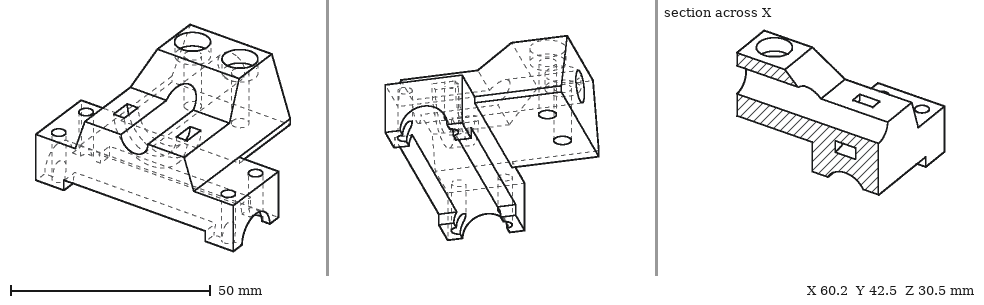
import cadquery as cq

base_width = 60.2
base_depth = 20.0
base_height = 13.5
total_depth = 42.5
total_height = 30.5

body_bottom_width = 36.1
body_top_width = 24.9
deck_height = 22.45
rear_underside = 11.75
ramp_run = total_height - deck_height

foot_gap_width = 43.0
foot_gap_height = 3.0
rod_radius = 6.1

bore_radius = 4.1

strap_inner_radius = 7.95
strap_outer_radius = 11.2
strap_width = 6.0

block_hole_spacing = 14.45
block_hole_to_back = 6.5
block_hole_diameter = 4.45
counterbore_diameter = 9.0
counterbore_depth = 4.0

flange_hole_spacing_x = 51.65
flange_hole_spacing_y = 12.05
flange_hole_diameter = 3.6

base_middle_y = base_depth / 2


def cylinder_along_y(radius, y_start, length):
    """Cylinder around the bore axis."""
    axis_start = cq.Vector(0, y_start, deck_height)
    return cq.Workplane(cq.Solid.makeCylinder(radius, length, axis_start, cq.Vector(0, 1, 0)))


def make_base():
    """Flanged base with a gap between its feet and a half-round rod seat along X."""
    base = cq.Workplane().box(base_width, base_depth, base_height, centered=(True, False, False))
    foot_gap = cq.Workplane().box(
        foot_gap_width, base_depth, foot_gap_height, centered=(True, False, False)
    )
    rod = (
        cq.Workplane("YZ")
        .center(base_middle_y, 0)
        .circle(rod_radius)
        .extrude(base_width / 2, both=True)
    )
    return base.cut(foot_gap).cut(rod)


def make_body():
    """Tapered bar along Y, with everything above the deck and the ramp removed."""
    bottom_x = body_bottom_width / 2
    top_x = body_top_width / 2
    end_profile = [
        (-bottom_x, rear_underside),
        (bottom_x, rear_underside),
        (bottom_x, base_height),
        (top_x, total_height),
        (-top_x, total_height),
        (-bottom_x, base_height),
    ]
    space_above_deck = [
        (0, deck_height),
        (base_depth, deck_height),
        (base_depth + ramp_run, total_height),
        (0, total_height),
    ]
    tapered_bar = cq.Workplane("XZ").polyline(end_profile).close().extrude(-total_depth)
    clearance = (
        cq.Workplane("YZ")
        .polyline(space_above_deck)
        .close()
        .extrude(body_bottom_width / 2, both=True)
    )
    return tapered_bar.cut(clearance)


def make_strap_channel():
    """Ring around the bore axis; its lower half opens at two slots in the deck."""
    strap_start = base_middle_y - strap_width / 2
    outer = cylinder_along_y(strap_outer_radius, strap_start, strap_width)
    return outer.cut(cylinder_along_y(strap_inner_radius, strap_start, strap_width))


result = make_body().union(make_base())
result = result.cut(cylinder_along_y(bore_radius, 0, total_depth))
result = result.cut(make_strap_channel())

result = (
    result.faces(">Z")
    .workplane(origin=(0, total_depth - block_hole_to_back, total_height))
    .rarray(block_hole_spacing, 0.6, 2, 1)
    .cboreHole(block_hole_diameter, counterbore_diameter, counterbore_depth)
)

flange_holes = (
    cq.Workplane(origin=(0, base_middle_y, 0))
    .rarray(flange_hole_spacing_x, flange_hole_spacing_y, 2, 2)
    .circle(flange_hole_diameter / 2)
    .extrude(base_height)
)
result = result.cut(flange_holes)